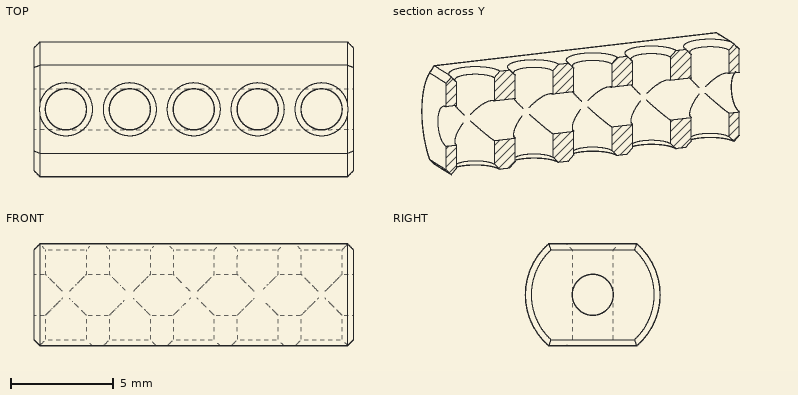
import cadquery as cq

hole_count = 5
hole_pitch = 3.125
hole_diameter = 2.0

bar_length = hole_count * hole_pitch
rod_diameter = 6.6
bar_height = 5.0

chamfer_size = 0.3


def make_bar():
    """Rod along X, centred on the origin, flattened at +Z and -Z, with both ends chamfered."""
    rod = cq.Workplane("YZ").circle(rod_diameter / 2).extrude(bar_length / 2, both=True)
    flattening_block = cq.Workplane("XY").box(bar_length, rod_diameter, bar_height)
    return rod.intersect(flattening_block).faces("<X or >X").chamfer(chamfer_size)


def make_cross_hole_cutter(x):
    """Vertical through hole at x, countersunk at 45 degrees at both flats."""
    radius = hole_diameter / 2
    mouth_radius = radius + chamfer_size
    half_height = bar_height / 2
    sink_floor = half_height - chamfer_size
    profile = [
        (0, -half_height),
        (mouth_radius, -half_height),
        (radius, -sink_floor),
        (radius, sink_floor),
        (mouth_radius, half_height),
        (0, half_height),
    ]
    cutter = cq.Workplane("XZ").polyline(profile).close().revolve(360, (0, 0), (0, 1))
    return cutter.translate((x, 0, 0))


def make_axial_hole_cutter():
    """Plain hole running the full length of the bar."""
    return cq.Workplane("YZ").circle(hole_diameter / 2).extrude(bar_length / 2, both=True)


result = make_bar().cut(make_axial_hole_cutter())
for index in range(hole_count):
    hole_x = (index - (hole_count - 1) / 2) * hole_pitch
    result = result.cut(make_cross_hole_cutter(hole_x))